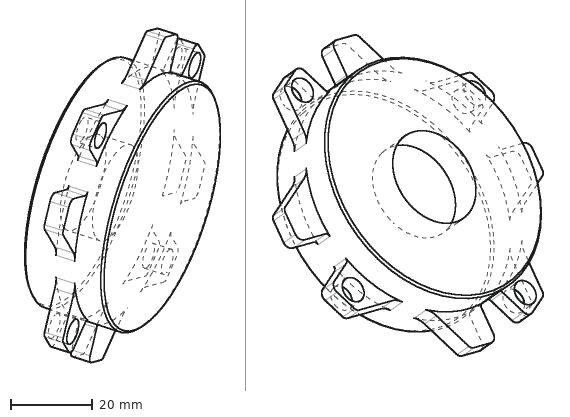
import cadquery as cq
import math

hub_width = 22.0
hub_radius = 32.4
hub_chamfer = 0.6
bore_radius = 12.5

plate_thickness = 5.2
plate_setback = 8.9
bore_depth = plate_setback

tooth_axis_angle = 60
tip_distance = 42.3
side_offset = 4.25
flank_distance = 25.15
flank_lean = 30
side_corner_radius = 2.0
flank_corner_radius = 1.5
side_root_radius = 1.0
flank_root_radius = 5.0
quarter_turns = (0, 90, 180, 270)

hole_radius = 3.25
hole_distance = 37.9
hole_offset = 0.9

bored_face_x = -hub_width / 2
plate_face_x = bored_face_x + plate_setback


def outward_plane(x):
    """Plane across the hub axis, facing -X, with -Y to its right and Z up."""
    return cq.Plane(origin=(x, 0, 0), xDir=(0, -1, 0), normal=(-1, 0, 0))


def flank_across(along):
    """Sideways position of the flank line at a distance along the tooth axis."""
    lean = math.radians(flank_lean)
    return (flank_distance - along * math.sin(lean)) / math.cos(lean)


def root_point(line_distance):
    """Distance along a line at which it leaves the hub circle."""
    return math.sqrt(hub_radius**2 - line_distance**2)


def round_corner(body, along, across, radius):
    """Round the plate edge that passes through a point of the unturned tooth."""
    edge = cq.selectors.NearestToPointSelector((along, across, plate_thickness / 2))
    return body.edges("|Z").edges(edge).fillet(radius)


def make_tooth():
    """Tooth with its axis along local X, blended into a disc of the hub radius."""
    tip_flank = flank_across(tip_distance)
    tooth = (
        cq.Workplane("XY")
        .moveTo(0, -side_offset)
        .lineTo(tip_distance, -side_offset)
        .lineTo(tip_distance, tip_flank)
        .lineTo(0, flank_across(0))
        .close()
        .extrude(plate_thickness)
    )
    body = cq.Workplane("XY").circle(hub_radius).extrude(plate_thickness).union(tooth)

    lean = math.radians(flank_lean)
    flank_run = root_point(flank_distance)
    flank_root_along = flank_distance * math.sin(lean) + flank_run * math.cos(lean)
    body = round_corner(body, tip_distance, -side_offset, side_corner_radius)
    body = round_corner(body, tip_distance, tip_flank, flank_corner_radius)
    body = round_corner(body, root_point(side_offset), -side_offset, side_root_radius)
    return round_corner(body, flank_root_along, flank_across(flank_root_along), flank_root_radius)


def place_on_plate(body):
    """Move a body from the local XY plane to the plate, thickness facing -X."""
    return cq.Workplane(body.val().moved(cq.Location(outward_plane(plate_face_x + plate_thickness))))


hub = (
    cq.Workplane(outward_plane(-bored_face_x))
    .circle(hub_radius)
    .extrude(hub_width)
    .edges()
    .chamfer(hub_chamfer)
)

origin = (0, 0, 0)
axis_end = (0, 0, 1)
plain_tooth = make_tooth()
pin_hole = (
    cq.Workplane("XY")
    .center(hole_distance, hole_offset)
    .circle(hole_radius)
    .extrude(plate_thickness)
)
pin_tooth = plain_tooth.cut(pin_hole)
mirrored_tooth = plain_tooth.mirror("XZ")

result = hub
for turn in quarter_turns:
    pin_angle = tooth_axis_angle + turn
    mirrored_angle = 90 - tooth_axis_angle + turn
    result = result.union(place_on_plate(pin_tooth.rotate(origin, axis_end, pin_angle)))
    result = result.union(place_on_plate(mirrored_tooth.rotate(origin, axis_end, mirrored_angle)))

bore = cq.Workplane(outward_plane(bored_face_x)).circle(bore_radius).extrude(-bore_depth)
result = result.cut(bore)